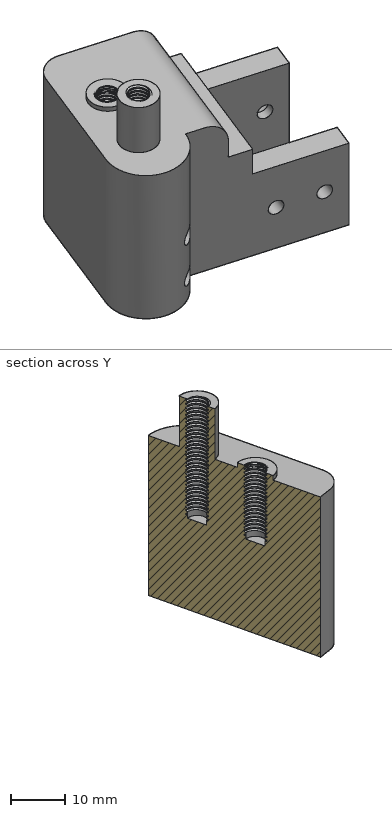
import cadquery as cq

body_width = 30.15
body_depth = 30.2
body_height = 35
corner_radius = 5
total_width = 38.35
lobe_radius = total_width - body_width

step_depth = 5
step_height = 26
brow_radius = 5

total_depth = 50
arm_thickness = 5
arm_height = 20

screw_diameter = 3.2
counterbore_diameter = 7
counterbore_depth = 3
arm_hole_y = (35, 45)
arm_hole_z = arm_height / 2
body_hole_y = 14.5
body_hole_z = (5, 15)

pin_diameter = 8
pin_y = 8
short_pin_x = 14.5
short_pin_height = 1
tall_pin_x = 27.5
tall_pin_height = 11

thread_minor_diameter = 4.2
thread_major_diameter = 5
thread_pitch = 0.8
thread_bottom = arm_height
thread_root_flat = 0.1
thread_mouth_flat = 0.6
thread_overlap = 0.2


def make_body():
    """Block with a rounded front left corner and a round lobe at the front right."""
    block = (
        cq.Workplane("XY")
        .box(body_width, body_depth, body_height, centered=False)
        .edges("|Z and <X and <Y")
        .fillet(corner_radius)
    )
    lobe = cq.Workplane("XY").center(body_width, lobe_radius).circle(lobe_radius).extrude(body_height)
    step_cut = cq.Workplane("XY", origin=(0, body_depth - step_depth, step_height)).box(
        body_width, step_depth, body_height - step_height, centered=False
    )
    stepped = block.cut(step_cut).faces(">Z").edges(">Y").fillet(brow_radius)
    return stepped.union(lobe)


def make_arm(x):
    """Flat arm whose left face lies at the given X."""
    return cq.Workplane("XY", origin=(x, body_depth / 2, 0)).box(
        arm_thickness, total_depth - body_depth / 2, arm_height, centered=False
    )


def make_screw_hole(y, z):
    """Through hole along X with a counterbore on the left face."""
    start = cq.Workplane("YZ").center(y, z)
    shank = start.circle(screw_diameter / 2).extrude(total_width)
    head = start.circle(counterbore_diameter / 2).extrude(counterbore_depth)
    return shank.union(head)


def make_thread_groove(x, top):
    """Helical groove with a trapezoid section that breaks out through the pin's top face."""
    inner = thread_minor_diameter / 2 - thread_overlap
    outer = thread_major_diameter / 2
    start_z = thread_bottom + thread_pitch
    end_z = top + thread_pitch
    helix = cq.Wire.makeHelix(
        thread_pitch, end_z - start_z, thread_minor_diameter / 2, center=cq.Vector(x, pin_y, start_z)
    )
    section = cq.Workplane("XZ", origin=(x, pin_y, start_z)).polyline(
        [
            (inner, -thread_mouth_flat / 2),
            (outer, -thread_root_flat / 2),
            (outer, thread_root_flat / 2),
            (inner, thread_mouth_flat / 2),
        ]
    )
    return section.close().sweep(cq.Workplane(helix), isFrenet=True)


def add_threaded_pin(part, x, height):
    """Add one pin to the top face and cut its blind threaded hole down into the body."""
    top = body_height + height
    pin = cq.Workplane("XY", origin=(x, pin_y, body_height)).circle(pin_diameter / 2).extrude(height)
    bore_start = cq.Workplane("XY", origin=(x, pin_y, thread_bottom))
    bore = bore_start.circle(thread_minor_diameter / 2).extrude(top - thread_bottom)
    return part.union(pin).cut(make_thread_groove(x, top)).cut(bore)


result = make_body()
for arm_x in (0, body_width - arm_thickness):
    result = result.union(make_arm(arm_x))

for hole_y in arm_hole_y:
    result = result.cut(make_screw_hole(hole_y, arm_hole_z))
for hole_z in body_hole_z:
    result = result.cut(make_screw_hole(body_hole_y, hole_z))

for pin_x, pin_height in ((short_pin_x, short_pin_height), (tall_pin_x, tall_pin_height)):
    result = add_threaded_pin(result, pin_x, pin_height)